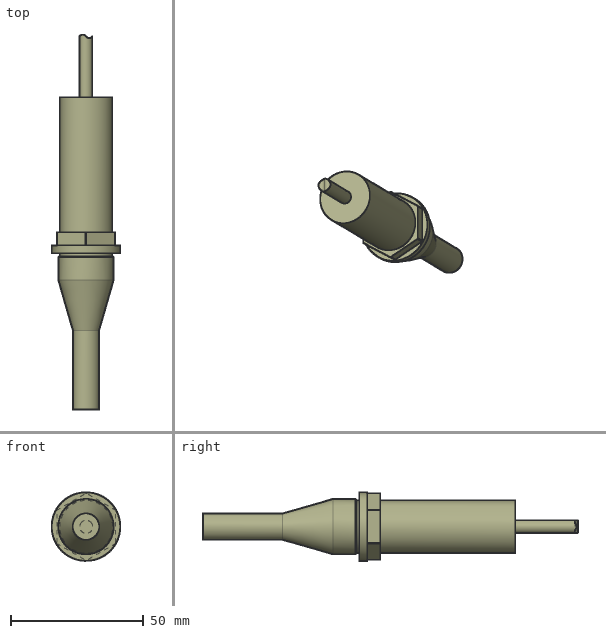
import cadquery as cq
import math

overall_length = 141.63

tube_diameter = 20.0
tube_length = 51.0
hex_sides = 6
hex_across_flats = 22.0
hex_corner_diameter = 25.2
hex_length = 5.0
flange_diameter = 26.0
flange_thickness = 3.0
wire_diameter = 4.9
wire_break_radius = 1.5

boot_diameter = 20.96
boot_chamfer = 0.5
boot_neck_length = 1.0
boot_straight_length = 9.0
boot_taper_length = 19.0
cable_diameter = 10.0
cable_length = 30.0

flange_front_y = -flange_thickness
neck_end_y = flange_front_y - boot_neck_length
taper_start_y = neck_end_y - boot_straight_length
taper_end_y = taper_start_y - boot_taper_length
cable_end_y = taper_end_y - cable_length
wire_tip_y = cable_end_y + overall_length
tube_end_y = hex_length + tube_length


def rod(diameter, start_y, end_y):
    """Round bar along Y between two stations."""
    return cq.Workplane("XZ", origin=(0, start_y, 0)).circle(diameter / 2).extrude(start_y - end_y)


def make_hex():
    """Wrench hexagon with flats facing +X and -X and its corners turned down."""
    across_corners = hex_across_flats / math.cos(math.pi / hex_sides)
    hexagon = cq.Workplane("XZ").polygon(hex_sides, across_corners).extrude(-hex_length)
    hexagon = hexagon.rotate((0, 0, 0), (0, 1, 0), 180 / hex_sides)
    return hexagon.intersect(rod(hex_corner_diameter, 0, hex_length))


def make_wire():
    """Wire whose free end is an S-shaped break: a crest on -X and a trough on +X."""
    radius = wire_diameter / 2
    arc_height = wire_break_radius - math.sqrt(wire_break_radius**2 - (radius / 2) ** 2)
    break_y = wire_tip_y - arc_height
    outline = (
        cq.Workplane("XY")
        .moveTo(-radius, tube_end_y)
        .lineTo(-radius, break_y)
        .threePointArc((-radius / 2, wire_tip_y), (0, break_y))
        .threePointArc((radius / 2, break_y - arc_height), (radius, break_y))
        .lineTo(radius, tube_end_y)
        .close()
    )
    wavy_block = outline.extrude(radius, both=True)
    return rod(wire_diameter, tube_end_y, wire_tip_y).intersect(wavy_block)


def make_housing():
    """Tube with a wrench hexagon, a flange and the wire at its rear end."""
    tube = rod(tube_diameter, flange_front_y, tube_end_y)
    flange = rod(flange_diameter, flange_front_y, 0)
    return tube.union(flange).union(make_hex()).union(make_wire())


def make_boot():
    """Boot whose neck butts against the flange and whose front tapers down to the cable."""
    boot_radius = boot_diameter / 2
    neck_radius = boot_radius - boot_chamfer
    cable_radius = cable_diameter / 2
    half_section = cq.Workplane("XY").polyline(
        [
            (0, flange_front_y),
            (neck_radius, flange_front_y),
            (neck_radius, neck_end_y),
            (boot_radius, neck_end_y - boot_chamfer),
            (boot_radius, taper_start_y),
            (cable_radius, taper_end_y),
            (cable_radius, cable_end_y),
            (0, cable_end_y),
        ]
    ).close()
    return half_section.revolve(360, (0, 0, 0), (0, 1, 0))


housing = make_housing()
boot = make_boot()

result = cq.Compound.makeCompound([housing.val(), boot.val()])